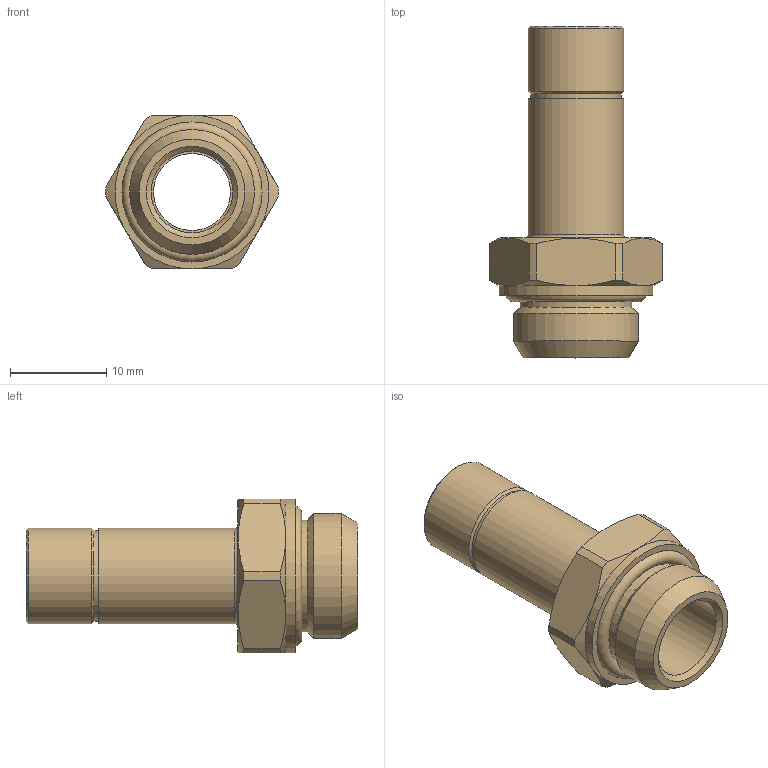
import cadquery as cq
import math

collar_start = 6.5
hex_start = 7.5
hex_end = 12.5
total_length = 34.5

thread_radius = 6.5
lead_in_length = 1.75
lead_in_angle = 30.0
run_out_start = 4.6
groove_radius = 5.82

ring_section_radius = 0.75
ring_centre_station = 6.6
ring_squeeze = 0.03

across_flats = 16.0
hexagon_half_angle = 30.0
corner_radius = 9.0
hex_chamfer_angle = 30.0
collar_radius = across_flats / 2
hex_rear_face_radius = 7.9

tube_radius = 4.95
tube_root_fillet = 0.3
tube_edge_chamfer = 0.25
tube_groove_radius = tube_radius - tube_edge_chamfer
tube_groove_width = 0.75
tube_head_length = 6.8

large_bore_radius = 4.25
small_bore_radius = 4.0
bore_entry_chamfer = 0.5


def revolve_about_axis(profile):
    """Turn a closed (radius, Y) profile around the Y axis."""
    return profile.close().revolve(360, (0, 0, 0), (0, 1, 0))


def threaded_end():
    tip_radius = thread_radius - lead_in_length * math.tan(math.radians(lead_in_angle))
    run_out_end = run_out_start + thread_radius - groove_radius
    profile = (
        cq.Workplane("XY")
        .lineTo(tip_radius, 0)
        .lineTo(thread_radius, lead_in_length)
        .lineTo(thread_radius, run_out_start)
        .lineTo(groove_radius, run_out_end)
        .lineTo(groove_radius, collar_start)
        .lineTo(collar_radius, collar_start)
        .lineTo(collar_radius, hex_start)
        .lineTo(0, hex_start)
    )
    return revolve_about_axis(profile)


def seal_ring():
    centre_radius = groove_radius - ring_squeeze + ring_section_radius
    section = cq.Workplane("XY").center(centre_radius, ring_centre_station).circle(ring_section_radius)
    return section.revolve(360, (-centre_radius, 0, 0), (-centre_radius, 1, 0))


def hexagon():
    slope = math.tan(math.radians(hex_chamfer_angle))
    front_chamfer_length = (corner_radius - collar_radius) * slope
    rear_chamfer_length = (corner_radius - hex_rear_face_radius) * slope
    across_corners = across_flats / math.cos(math.radians(hexagon_half_angle))
    prism = (
        cq.Workplane("XZ", origin=(0, hex_start, 0))
        .polygon(6, across_corners)
        .extrude(hex_start - hex_end)
    )
    turned_envelope = revolve_about_axis(
        cq.Workplane("XY")
        .moveTo(0, hex_start)
        .lineTo(collar_radius, hex_start)
        .lineTo(corner_radius, hex_start + front_chamfer_length)
        .lineTo(corner_radius, hex_end - rear_chamfer_length)
        .lineTo(hex_rear_face_radius, hex_end)
        .lineTo(0, hex_end)
    )
    return prism.intersect(turned_envelope)


def tube():
    head_start = total_length - tube_head_length
    groove_start = head_start - tube_groove_width
    fillet_radius = tube_root_fillet
    fillet_mid_offset = fillet_radius * (1 - math.sqrt(0.5))
    profile = (
        cq.Workplane("XY")
        .moveTo(0, hex_end)
        .lineTo(tube_radius + fillet_radius, hex_end)
        .threePointArc(
            (tube_radius + fillet_mid_offset, hex_end + fillet_mid_offset),
            (tube_radius, hex_end + fillet_radius),
        )
        .lineTo(tube_radius, groove_start)
        .lineTo(tube_groove_radius, groove_start)
        .lineTo(tube_groove_radius, head_start - tube_edge_chamfer)
        .lineTo(tube_radius, head_start)
        .lineTo(tube_radius, total_length - tube_edge_chamfer)
        .lineTo(tube_radius - tube_edge_chamfer, total_length)
        .lineTo(0, total_length)
    )
    return revolve_about_axis(profile)


def bore():
    profile = (
        cq.Workplane("XY")
        .lineTo(large_bore_radius + bore_entry_chamfer, 0)
        .lineTo(large_bore_radius, bore_entry_chamfer)
        .lineTo(large_bore_radius, hex_end)
        .lineTo(small_bore_radius, hex_end)
        .lineTo(small_bore_radius, total_length)
        .lineTo(0, total_length)
    )
    return revolve_about_axis(profile)


result = threaded_end().union(seal_ring()).union(hexagon()).union(tube()).cut(bore())